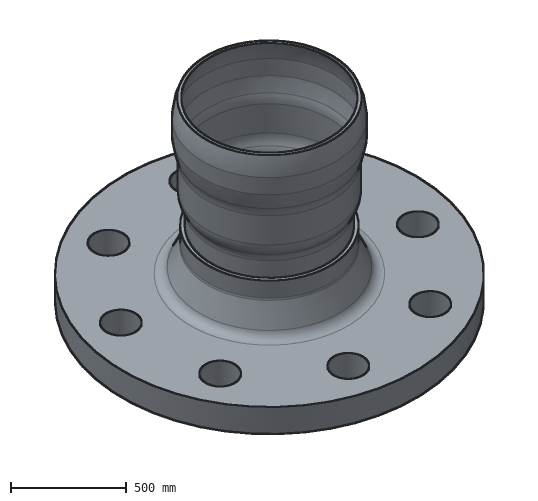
import cadquery as cq
import math

flange_diameter = 1850.0
face_height = 33.0
face_radius = 615.0
flange_top = 183.0
root_fillet = 61.0
bolt_count = 8
bolt_hole_diameter = 180.0
bolt_circle_diameter = 1450.0

bore_diameter = 703.0
hub_radius = 385.0
hub_top = 450.0
cone_top = 348.0
cone_base_radius = 457.0
hub_shoulder_fillet = 28.0

wall = 16.1
neck_radius = 730.0 / 2
sleeve_radius = 792.0 / 2
bulge_radius = 842.0 / 2
lower_bend_bottom = 544.0
lower_bend_top = 655.0
upper_bend_bottom = 815.0
upper_bend_top = 950.0
lip_bend_bottom = 1045.0
pipe_top = 1150.0
lower_bend_inflection = 588.0
upper_bend_inflection = 862.0
lip_arc_radius = 252.0


def flange_blank():
    """Flange plate with raised face and tapered hub, before fillets and bolt holes."""
    outer_radius = flange_diameter / 2
    bore_radius = bore_diameter / 2
    fillet_width = math.sqrt(root_fillet**2 - (root_fillet - face_height) ** 2)
    return (
        cq.Workplane("XZ")
        .moveTo(bore_radius, 0)
        .lineTo(face_radius, 0)
        .radiusArc((face_radius + fillet_width, face_height), root_fillet)
        .lineTo(outer_radius, face_height)
        .lineTo(outer_radius, flange_top)
        .lineTo(cone_base_radius, flange_top)
        .lineTo(hub_radius, cone_top)
        .lineTo(hub_radius, hub_top)
        .lineTo(bore_radius, hub_top)
        .close()
        .revolve(360, (0, 0), (0, 1))
    )


def fillet_ring(body, radius, height, size):
    """Fillet the circular edge of the given radius and height."""
    margin = 2.0
    reach = radius + margin
    box = cq.selectors.BoxSelector(
        (-reach, -reach, height - margin), (reach, reach, height + margin), boundingbox=True
    )
    outer_edge = body.edges(box).edges(cq.selectors.RadiusNthSelector(-1))
    return outer_edge.fillet(size)


def drill_bolt_holes(body):
    holes = (
        cq.Workplane("XY")
        .polarArray(bolt_circle_diameter / 2, 0, 360, bolt_count)
        .circle(bolt_hole_diameter / 2)
        .extrude(flange_top)
    )
    return body.cut(holes)


def bend_points(low_radius, high_radius, bottom, inflection, top, inset):
    """Inflection and end point of an S-bend widening upward, moved inward by inset."""
    height = top - bottom
    rise = high_radius - low_radius
    tilt = 2 * math.atan(rise / height)
    inflection_radius = low_radius + rise * (inflection - bottom) / height
    middle = (inflection_radius - inset * math.cos(tilt), inflection + inset * math.sin(tilt))
    return middle, (high_radius - inset, top)


def pipe_envelope(inset):
    """Solid of revolution within the pipe's outside surface moved inward by inset."""
    lower_middle, lower_end = bend_points(
        neck_radius, sleeve_radius, lower_bend_bottom, lower_bend_inflection, lower_bend_top, inset
    )
    upper_middle, upper_end = bend_points(
        sleeve_radius, bulge_radius, upper_bend_bottom, upper_bend_inflection, upper_bend_top, inset
    )
    lip_height = pipe_top - lip_bend_bottom
    arc_radius = lip_arc_radius - inset
    lip_radius = bulge_radius - lip_arc_radius + math.sqrt(arc_radius**2 - lip_height**2)
    return (
        cq.Workplane("XZ")
        .moveTo(0, hub_top)
        .lineTo(neck_radius - inset, hub_top)
        .lineTo(neck_radius - inset, lower_bend_bottom)
        .tangentArcPoint(lower_middle, relative=False)
        .tangentArcPoint(lower_end, relative=False)
        .lineTo(sleeve_radius - inset, upper_bend_bottom)
        .tangentArcPoint(upper_middle, relative=False)
        .tangentArcPoint(upper_end, relative=False)
        .lineTo(bulge_radius - inset, lip_bend_bottom)
        .tangentArcPoint((lip_radius, pipe_top), relative=False)
        .lineTo(0, pipe_top)
        .close()
        .revolve(360, (0, 0), (0, 1))
    )


def make_pipe():
    return pipe_envelope(0).cut(pipe_envelope(wall))


flange = flange_blank()
flange = fillet_ring(flange, cone_base_radius, flange_top, root_fillet)
flange = fillet_ring(flange, hub_radius, cone_top, hub_shoulder_fillet)
flange = drill_bolt_holes(flange)
pipe = make_pipe()

result = cq.Compound.makeCompound([flange.val(), pipe.val()])